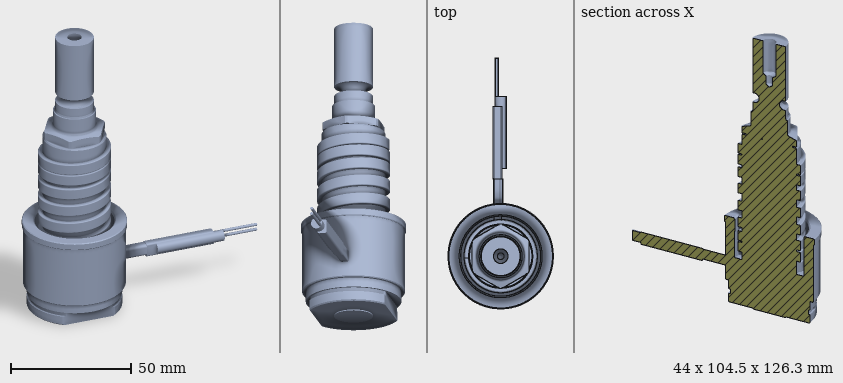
import cadquery as cq
import math

total_height = 126.3

pad_radius = 8.1
disc_bottom = 0.4
disc_radius = 20.0
disc_chamfer = 0.5
disc_top = 4.5
groove_radius = 19.1
ring_bottom = 6.5
ring_radius = 20.0
flats_width = 32.2

housing_bottom = 10.5
housing_radius = 21.5
flange_bottom = 37.1
flange_radius = 22.0
housing_top = 40.3
housing_chamfer = 0.4
pocket_floor = 21.7
pocket_radius = 16.7
pocket_chamfer = 0.6

core_radius = 13.4
core_top = 80.3
core_chamfer_width = 0.4
core_chamfer_height = 0.6
hex_bottom = 80.7
hex_neck_radius = 11.4
hex_across_flats = 23.7
hex_corner_radius = 13.4
hex_rim = 83.9
cone_top_radius = 9.9
cone_top = 84.9
boss_radius = 9.0
fillet_top = cone_top + cone_top_radius - boss_radius
boss_top = 92.1
step_radius = 8.3
step_top = 92.8
shaft_radius = 8.1
collar_top = 96.6
shaft_bottom = 100.7
neck_edge_radius = 6.7
neck_radius = 5.0
bore_radius = 3.0
bore_depth = 15.2
pilot_radius = 1.4
pilot_depth = 3.8
drill_angle = 118.0

spring_outer_radius = 15.3
spring_overlap = 0.4
wire_height = 4.7
wire_fillet = 0.4
spring_top_center = 74.4
spring_top_angle = 183.0
close_pitch = 5.0
close_turns = 1.87
transition_pitch = 7.1
transition_turns = 0.79
open_pitch = 8.0
open_turns = 2.43

cable_z = 19.5
cable_left = -2.9
cable_width = 3.8
cable_height = 4.9
cable_start = 14.5
cable_small_fillet = 0.4
cable_large_fillet = 1.1
sleeve_start = 32.2
sleeve_end = 62.4
sleeve_left = -3.3
sleeve_width = 3.9
sleeve_height = 5.9
sleeve_z = 19.2
sleeve_fillet = 0.8
tube_start = 36.5
tube_end = 66.5
tube_radius = 2.4
lead_end = 82.5
lead_radius = 0.6
lead_x = -1.6
lead_spacing = 2.3


def cylinder(radius, bottom, top):
    """Upright cylinder on the main axis."""
    return cq.Workplane("XY").workplane(offset=bottom).circle(radius).extrude(top - bottom)


def bottom_end():
    """Pad, grooved disc with two flats, and the ring that meets the housing."""
    disc = cylinder(disc_radius, disc_bottom, disc_top).faces("<Z").chamfer(disc_chamfer)
    disc = disc.union(cylinder(groove_radius, disc_top, ring_bottom))
    flats = cq.Workplane("XY").box(flats_width, 2 * disc_radius, 2 * ring_bottom)
    ring = cylinder(ring_radius, ring_bottom, housing_bottom)
    return disc.intersect(flats).union(ring).union(cylinder(pad_radius, 0, disc_bottom))


def housing():
    """Flanged housing with an open spring pocket in its top."""
    body = cylinder(housing_radius, housing_bottom, flange_bottom).faces("<Z").chamfer(housing_chamfer)
    flange = cylinder(flange_radius, flange_bottom, housing_top).edges().chamfer(housing_chamfer)
    pocket_rim = pocket_radius + pocket_chamfer
    pocket = (
        cq.Workplane("XZ")
        .moveTo(0, pocket_floor)
        .lineTo(pocket_radius, pocket_floor)
        .lineTo(pocket_radius, housing_top - pocket_chamfer)
        .lineTo(pocket_rim, housing_top)
        .lineTo(0, housing_top)
        .close()
        .revolve(360, (0, 0, 0), (0, 1, 0))
    )
    return body.union(flange).cut(pocket)


def core_and_shaft():
    """Turned core inside the spring, continuing up to the necked shaft."""
    neck_middle = (collar_top + shaft_bottom) / 2
    profile = (
        cq.Workplane("XZ")
        .moveTo(0, housing_bottom)
        .lineTo(core_radius, housing_bottom)
        .lineTo(core_radius, core_top - core_chamfer_height)
        .lineTo(core_radius - core_chamfer_width, core_top)
        .lineTo(hex_neck_radius, core_top)
        .lineTo(hex_neck_radius, hex_bottom)
        .lineTo(cone_top_radius, hex_bottom)
        .lineTo(cone_top_radius, cone_top)
        .radiusArc((boss_radius, fillet_top), cone_top_radius - boss_radius)
        .lineTo(boss_radius, boss_top)
        .lineTo(step_radius, boss_top)
        .lineTo(shaft_radius, step_top)
        .lineTo(shaft_radius, collar_top)
        .lineTo(neck_edge_radius, collar_top)
        .threePointArc((neck_radius, neck_middle), (neck_edge_radius, shaft_bottom))
        .lineTo(shaft_radius, shaft_bottom)
        .lineTo(shaft_radius, total_height)
        .lineTo(0, total_height)
        .close()
    )
    return profile.revolve(360, (0, 0, 0), (0, 1, 0))


def hexagon():
    """Hexagonal collar with corners towards +Y and -Y, trimmed by a cone on top."""
    corner_diameter = hex_across_flats / math.cos(math.pi / 6)
    prism = (
        cq.Workplane("XY")
        .workplane(offset=hex_bottom)
        .transformed(rotate=(0, 0, 90))
        .polygon(6, corner_diameter)
        .extrude(cone_top - hex_bottom)
    )
    envelope = (
        cq.Workplane("XZ")
        .moveTo(0, hex_bottom)
        .lineTo(hex_corner_radius, hex_bottom)
        .lineTo(hex_corner_radius, hex_rim)
        .lineTo(cone_top_radius, cone_top)
        .lineTo(0, cone_top)
        .close()
        .revolve(360, (0, 0, 0), (0, 1, 0))
    )
    return prism.intersect(envelope)


def shaft_bore():
    """Blind drilled hole in the top of the shaft, ending in a narrower pilot hole."""
    slope = math.tan(math.radians(drill_angle / 2))
    bore_bottom = total_height - bore_depth
    pilot_top = bore_bottom - (bore_radius - pilot_radius) / slope
    pilot_bottom = pilot_top - pilot_depth
    return (
        cq.Workplane("XZ")
        .moveTo(0, total_height)
        .lineTo(bore_radius, total_height)
        .lineTo(bore_radius, bore_bottom)
        .lineTo(pilot_radius, pilot_top)
        .lineTo(pilot_radius, pilot_bottom)
        .lineTo(0, pilot_bottom - pilot_radius / slope)
        .close()
        .revolve(360, (0, 0, 0), (0, 1, 0))
    )


def coil(start_angle, start_center, pitch, turns):
    """Right-handed helical length of wire rising from its start."""
    inner_radius = core_radius - spring_overlap
    half_height = wire_height / 2
    path = cq.Wire.makeHelix(pitch, pitch * turns, spring_outer_radius)
    wire = (
        cq.Workplane("XZ")
        .moveTo(inner_radius, -half_height)
        .lineTo(spring_outer_radius - wire_fillet, -half_height)
        .radiusArc((spring_outer_radius, wire_fillet - half_height), -wire_fillet)
        .lineTo(spring_outer_radius, half_height - wire_fillet)
        .radiusArc((spring_outer_radius - wire_fillet, half_height), -wire_fillet)
        .lineTo(inner_radius, half_height)
        .close()
        .sweep(cq.Workplane(path), isFrenet=True)
    )
    return wire.rotate((0, 0, 0), (0, 0, 1), start_angle).translate((0, 0, start_center))


def add_spring(body):
    """Join the spring to the body, working down from its top end."""
    sections = [
        (close_pitch, close_turns),
        (transition_pitch, transition_turns),
        (open_pitch, open_turns),
        (transition_pitch, transition_turns),
        (close_pitch, close_turns),
    ]
    angle = spring_top_angle
    center = spring_top_center
    for pitch, turns in sections:
        angle -= 360 * turns
        center -= pitch * turns
        body = body.union(coil(angle, center, pitch, turns))
    return body


def y_block(left, width, middle_z, height, start, end):
    """Block running along Y, placed by its -X side and its middle height."""
    block = cq.Workplane("XY").box(width, end - start, height, centered=(False, False, True))
    return block.translate((left, start, middle_z))


def y_cylinder(x, z, radius, start, end):
    """Cylinder running along Y."""
    return cq.Workplane("XZ", origin=(x, start, z)).circle(radius).extrude(start - end)


def cable():
    """Flat cable, sleeve, round tube and the two leads at its free end."""
    flat = y_block(cable_left, cable_width, cable_z, cable_height, cable_start, sleeve_start)
    flat = flat.edges("|Y and <X").fillet(cable_small_fillet)
    flat = flat.edges("|Y and >X").fillet(cable_large_fillet)
    sleeve = y_block(sleeve_left, sleeve_width, sleeve_z, sleeve_height, sleeve_start, sleeve_end)
    sleeve = sleeve.edges("|Y").fillet(sleeve_fillet)
    assembly = flat.union(sleeve).union(y_cylinder(0, cable_z, tube_radius, tube_start, tube_end))
    for side in (-1, 1):
        lead_z = cable_z + side * lead_spacing / 2
        assembly = assembly.union(y_cylinder(lead_x, lead_z, lead_radius, tube_end, lead_end))
    return assembly


main_body = bottom_end().union(housing()).union(core_and_shaft()).union(hexagon()).cut(shaft_bore())
result = add_spring(main_body).union(cable())